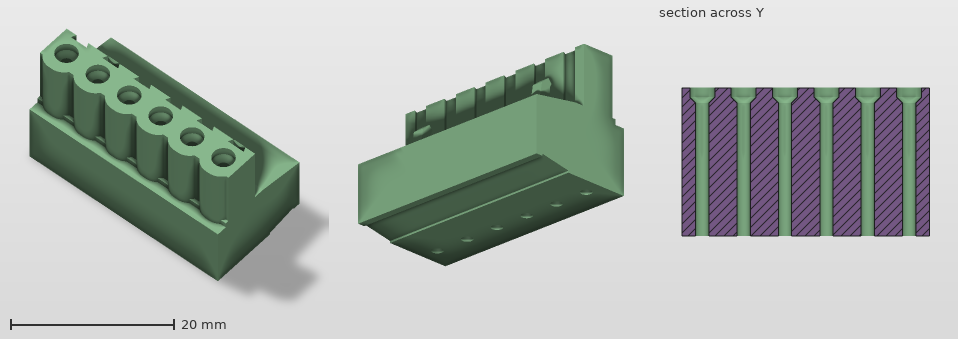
import cadquery as cq
import math


length = 30.37
depth = 15.35
height = 18.15
pole_count = 6
pitch = length / pole_count

front_shoulder_height = 9.05
ledge_height = 9.8
ledge_front = 1.5
slope_start = 8.5
rear_height = 8.75

relief_front = 9.75
relief_rear = 14.27
relief_front_depth = 0.27
relief_rear_depth = 1.05
rear_lip_height = 0.8

tower_front = 1.97
tower_back = 7.0
crown_front = 0.97
crown_flat = 0.45
valley_flat = 0.75

groove_depth = 0.67
groove_mouth = 1.9
groove_floor = 2.55

hole_centre = 4.0
hole_diameter = 3.0
hole_depth = 1.15
bore_diameter = 1.55
cone_depth = (hole_diameter - bore_diameter) / 2

latch_width = 1.58
latch_front = 8.6
latch_barb = (8.3, 13.67)
latch_neck_height = 13.12
latch_tip = (8.85, 14.3)
latch_shoulder = (9.95, 13.45)
latch_foot_back = 10.65

pole_positions = [(i - (pole_count - 1) / 2) * pitch for i in range(pole_count)]


def extrude_along_length(points, width, centre_x=0.0):
    """Extrude a (Y, Z) outline by width along X, centred on centre_x."""
    start = cq.Workplane("YZ").workplane(offset=centre_x - width / 2)
    return start.polyline(points).close().extrude(width)


def make_base():
    outline = [
        (0, 0),
        (relief_front, 0),
        (relief_front, relief_front_depth),
        (relief_rear, relief_rear_depth),
        (relief_rear, rear_lip_height),
        (depth, rear_lip_height),
        (depth, rear_height),
        (slope_start, ledge_height),
        (ledge_front, ledge_height),
        (ledge_front, front_shoulder_height),
        (0, front_shoulder_height),
    ]
    return extrude_along_length(outline, length)


def make_tower():
    """Scalloped prism: each pole has two arcs that run tangent into a flat crown."""
    crown_half = crown_flat / 2
    valley_start = (pitch - valley_flat) / 2
    run = valley_start - crown_half
    rise = tower_front - crown_front
    radius = (run**2 + rise**2) / (2 * rise)
    half_sweep = math.asin(run / radius) / 2
    mid_run = crown_half + radius * math.sin(half_sweep)
    mid_y = crown_front + radius * (1 - math.cos(half_sweep))

    outline = cq.Workplane("XY").workplane(offset=front_shoulder_height).moveTo(-length / 2, tower_front)
    for x in pole_positions:
        outline = (
            outline.lineTo(x - valley_start, tower_front)
            .threePointArc((x - mid_run, mid_y), (x - crown_half, crown_front))
            .lineTo(x + crown_half, crown_front)
            .threePointArc((x + mid_run, mid_y), (x + valley_start, tower_front))
        )
    outline = (
        outline.lineTo(length / 2, tower_front)
        .lineTo(length / 2, tower_back)
        .lineTo(-length / 2, tower_back)
        .close()
    )
    return outline.extrude(height - front_shoulder_height)


def make_groove(x):
    """Dovetail groove above the base, wider at its floor than at its mouth."""
    floor_y = tower_back - groove_depth
    outline = [
        (x - groove_mouth / 2, tower_back),
        (x - groove_floor / 2, floor_y),
        (x + groove_floor / 2, floor_y),
        (x + groove_mouth / 2, tower_back),
    ]
    plane = cq.Workplane("XY").workplane(offset=ledge_height)
    return plane.polyline(outline).close().extrude(height - ledge_height)


def make_screw_hole(x):
    """Round recess that narrows through a cone into a bore through the whole part."""
    cone_top = height - hole_depth
    cone_bottom = cone_top - cone_depth
    half_profile = [
        (0, 0),
        (bore_diameter / 2, 0),
        (bore_diameter / 2, cone_bottom),
        (hole_diameter / 2, cone_top),
        (hole_diameter / 2, height),
        (0, height),
    ]
    hole = cq.Workplane("XZ").polyline(half_profile).close().revolve(360, (0, 0, 0), (0, 1, 0))
    return hole.translate((x, hole_centre, 0))


def make_latch(x):
    """Barbed hook that rises from the sloped rear top; its foot is buried in the base."""
    foot_slope = (ledge_height - rear_height) / (depth - slope_start)
    foot_back_height = ledge_height - foot_slope * (latch_foot_back - slope_start)
    outline = [
        (latch_front, rear_height),
        (latch_front, latch_neck_height),
        latch_barb,
        latch_tip,
        latch_shoulder,
        (latch_foot_back, foot_back_height),
        (latch_foot_back, rear_height),
    ]
    return extrude_along_length(outline, latch_width, x)


result = make_base().union(make_tower())
for pole_x in pole_positions:
    result = result.cut(make_groove(pole_x)).cut(make_screw_hole(pole_x))

latch_offset = length / 2 - pitch
for latch_x in (-latch_offset, latch_offset):
    result = result.union(make_latch(latch_x))